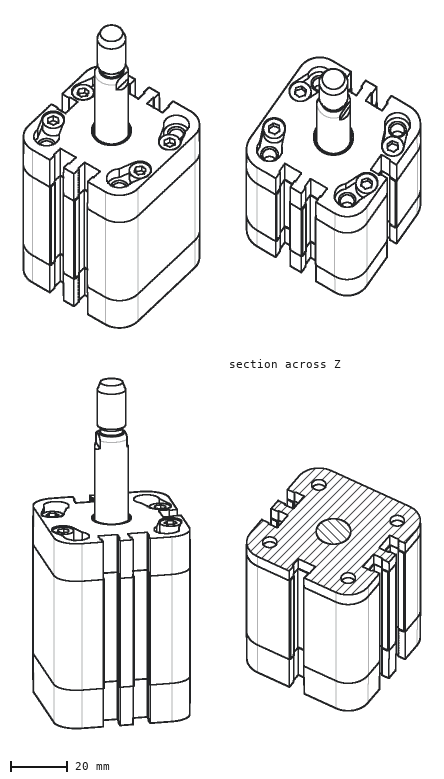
import cadquery as cq
import math

side = 49.0
total_height = 119.5
bottom_cap_top = 14.3
top_cap_bottom = 55.0
top_cap_top = 69.0

corner_radius = 8.2
cap_draft_angle = 0.4

slot_pitch = 10.8
slot_width = 6.9
barrel_slot_floor = 18.0
cap_slot_floor = 17.8
lip_back = 21.5
slot_overrun = 1.2
barrel_mouth_width = 5.4
lip_chamfer = 0.4
cap_mouth_width = barrel_mouth_width + 2 * lip_chamfer

port_offset = side / 2 - corner_radius
port_pocket_diameter = 9.0
port_diameter = 4.9
port_chamfer = 0.6
port_depth = 7.2
screw_x = 19.4
screw_y = 8.5
screw_pocket_diameter = 7.9
screw_head_diameter = 7.5
screw_head_height = 4.0
pocket_depth = 4.4
hex_flats = 3.7
hex_depth = 2.4
hex_turn = 10.0

rod_diameter = 12.0
shoulder_z = 100.6
shoulder_fillet = 1.4
flat_width = 9.8
flat_bottom = 96.3
neck_diameter = 7.9
neck_foot = 0.4
thread_diameter = 10.0
thread_bottom = 103.6
thread_tip_diameter = 7.9
thread_tip_height = 2.7

clearance_diameter = 12.5
clearance_depth = 1.8
recess_diameter = 13.7
recess_depth = 0.2
recess_chamfer = 0.1


def square_block(bottom, top, draft_angle=0.0):
    """Rounded square prism from bottom to top, tapering inward along the way."""
    outline = cq.Sketch().rect(side, side).vertices().fillet(corner_radius)
    base = cq.Workplane("XY", origin=(0, 0, bottom))
    return base.placeSketch(outline).extrude(top - bottom, taper=draft_angle)


def slot_outline(mouth_width, floor, chamfer):
    """Closed outline of a T-slot that opens toward +X, with or without chamfered lips."""
    mouth = mouth_width / 2
    face = side / 2
    if chamfer:
        half = [
            (face + slot_overrun, mouth + chamfer),
            (face, mouth + chamfer),
            (face - chamfer, mouth),
            (lip_back + chamfer, mouth),
            (lip_back, mouth + chamfer),
        ]
    else:
        half = [(face + slot_overrun, mouth), (lip_back, mouth)]
    half += [(lip_back, slot_width / 2), (floor, slot_width / 2)]
    return half + [(x, -y) for x, y in reversed(half)]


def cut_slots(body, mouth_width, floor, chamfer=0.0):
    """Cut the five full-height T-slots."""
    outline = slot_outline(mouth_width, floor, chamfer)
    slot = cq.Workplane("XY").polyline(outline).close().extrude(total_height)
    body = body.cut(slot.rotate((0, 0, 0), (0, 0, 1), 180))
    for turn in (90, -90):
        side_slot = slot.rotate((0, 0, 0), (0, 0, 1), turn)
        for x in (-slot_pitch / 2, slot_pitch / 2):
            body = body.cut(side_slot.translate((x, 0, 0)))
    return body


def make_bottom_cap():
    block = square_block(0, bottom_cap_top, cap_draft_angle)
    block = block.mirror("XY").translate((0, 0, bottom_cap_top))
    return cut_slots(block, cap_mouth_width, cap_slot_floor)


def make_barrel():
    block = square_block(bottom_cap_top, top_cap_bottom)
    return cut_slots(block, barrel_mouth_width, barrel_slot_floor, lip_chamfer)


def make_pocket():
    """Pocket of the +X +Y corner: a slot from the port to the screw, with a wider round end at the port."""
    dx = screw_x - port_offset
    dy = screw_y - port_offset
    slot_length = math.hypot(dx, dy) + screw_pocket_diameter
    floor = cq.Workplane("XY", origin=(0, 0, top_cap_top - pocket_depth))
    port_end = floor.center(port_offset, port_offset).circle(port_pocket_diameter / 2).extrude(pocket_depth)
    slot = (
        floor.center(port_offset + dx / 2, port_offset + dy / 2)
        .slot2D(slot_length, screw_pocket_diameter, math.degrees(math.atan2(dy, dx)))
        .extrude(pocket_depth)
    )
    return slot.union(port_end)


def make_port():
    """Hole in the pocket floor with a countersunk rim."""
    floor = top_cap_top - pocket_depth
    radius = port_diameter / 2
    return (
        cq.Workplane("XZ")
        .polyline([
            (0, floor),
            (radius + port_chamfer, floor),
            (radius, floor - port_chamfer),
            (radius, floor - port_depth),
            (0, floor - port_depth),
        ])
        .close()
        .revolve(360, (0, 0, 0), (0, 1, 0))
        .translate((port_offset, port_offset, 0))
    )


def make_screw_head():
    """Socket head standing on the pocket floor."""
    return (
        cq.Workplane("XY", origin=(screw_x, screw_y, top_cap_top - pocket_depth))
        .circle(screw_head_diameter / 2)
        .extrude(screw_head_height)
        .faces(">Z")
        .workplane()
        .transformed(rotate=(0, 0, hex_turn))
        .polygon(6, hex_flats / math.cos(math.pi / 6))
        .cutBlind(-hex_depth)
    )


def make_rod_hole():
    """Through hole for the rod, with a clearance bore and a shallow chamfered recess at the top."""
    rod_radius = rod_diameter / 2
    clearance_radius = clearance_diameter / 2
    recess_radius = recess_diameter / 2
    return (
        cq.Workplane("XZ")
        .polyline([
            (0, top_cap_bottom),
            (rod_radius, top_cap_bottom),
            (rod_radius, top_cap_top - clearance_depth),
            (clearance_radius, top_cap_top - clearance_depth),
            (clearance_radius, top_cap_top - recess_depth),
            (recess_radius, top_cap_top - recess_depth),
            (recess_radius, top_cap_top - recess_chamfer),
            (recess_radius + recess_chamfer, top_cap_top),
            (0, top_cap_top),
        ])
        .close()
        .revolve(360, (0, 0, 0), (0, 1, 0))
    )


def mirrored_to_corners(shape):
    """The shape of the +X +Y corner and its mirror images in the other corners."""
    pair = [shape, shape.mirror("YZ")]
    return pair + [item.mirror("XZ") for item in pair]


def make_top_cap():
    cap = square_block(top_cap_bottom, top_cap_top, cap_draft_angle)
    cap = cut_slots(cap, cap_mouth_width, cap_slot_floor)
    cap = cap.cut(make_rod_hole())
    for opening in mirrored_to_corners(make_pocket().union(make_port())):
        cap = cap.cut(opening)
    for head in mirrored_to_corners(make_screw_head()):
        cap = cap.union(head)
    return cap


def make_rod():
    rod_radius = rod_diameter / 2
    thread_radius = thread_diameter / 2
    neck_radius = neck_diameter / 2
    runout = thread_radius - neck_radius
    rod = (
        cq.Workplane("XZ")
        .polyline([
            (0, top_cap_bottom),
            (rod_radius, top_cap_bottom),
            (rod_radius, shoulder_z),
            (neck_radius + neck_foot, shoulder_z),
            (neck_radius, shoulder_z + neck_foot),
            (neck_radius, thread_bottom - runout),
            (thread_radius, thread_bottom),
            (thread_radius, total_height - thread_tip_height),
            (thread_tip_diameter / 2, total_height),
            (0, total_height),
        ])
        .close()
        .revolve(360, (0, 0, 0), (0, 1, 0))
    )
    rod = rod.edges(cq.selectors.RadiusNthSelector(-1)).edges(">Z").fillet(shoulder_fillet)
    return cut_wrench_flats(rod)


def cut_wrench_flats(rod):
    """Two flats facing -X and +X, each running out at 45 degrees at its lower end."""
    flat = flat_width / 2
    overhang = rod_diameter - flat
    cutter = (
        cq.Workplane("XZ")
        .polyline([
            (flat, flat_bottom),
            (flat + overhang, flat_bottom - overhang),
            (flat + overhang, shoulder_z),
            (flat, shoulder_z),
        ])
        .close()
        .extrude(rod_diameter / 2, both=True)
    )
    return rod.cut(cutter).cut(cutter.mirror("YZ"))


bottom_cap = make_bottom_cap()
barrel = make_barrel()
top_cap = make_top_cap()
rod = make_rod()

result = cq.Compound.makeCompound([bottom_cap.val(), barrel.val(), top_cap.val(), rod.val()])